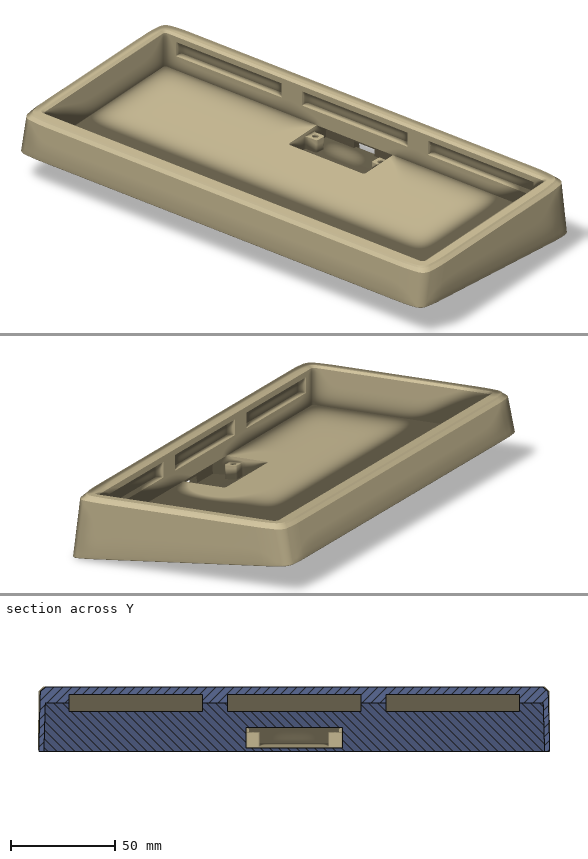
import cadquery as cq
import math

LENGTH = 245.6
BASE_DEPTH = 119.5
REAR_HEIGHT = 32.2
FRONT_HEIGHT = 20.0
BASE_SLOPE = math.atan((REAR_HEIGHT - FRONT_HEIGHT) / BASE_DEPTH)
BASE_EDGE_RADIUS = 0.5

BASE_CORNER_RUN = 13.8
RIM_CORNER_RUN = 15.2
BLEND_RATIO = 4.3
BLEND_ANGLE = math.radians(9.0)

SHOULDER_LENGTH = 245.2
SHOULDER_DEPTH = 112.5
RIM_STEPS = [(2.2, 0.0), (0.7, 1.6), (0.0, 2.2)]

OPENING_LENGTH = 230.0
OPENING_DEPTH = 95.8
OPENING_RADIUS = 1.2
MOUTH_DEPTH = 1.0
MOUTH_FLARE = 1.35
FLOOR_Z = -19.7

SEAM_Z = -7.9
SKIN = 2.5

SLOT_COUNT = 3
SLOT_PITCH = 76.2
SLOT_LENGTH = 63.9
SLOT_HEIGHT = 7.9
SLOT_DEPTH = 3.7
SLOT_RADIUS = 1.5

POCKET_LENGTH = 46.2
POCKET_SLOPE = math.radians(3.5)
POCKET_FRONT = 18.7
POCKET_REAR = 11.8
POCKET_EDGE_RADIUS = 1.5
POCKET_SKIN = 1.5
CREASE_Y = 43.5

POST_WIDTH = 6.6
POST_DEPTH = 6.5
POST_SETBACK = 1.2
POST_EDGE_RADIUS = 1.0
POST_HEIGHT = 7.0
POST_BORE = 3.2
POST_BORE_DEPTH = 1.2
POST_HOLE = 2.3
POST_HOLE_DEPTH = 6.1

SELECT_MARGIN = 0.2

PORT_WIDTH = 12.3
PORT_HEIGHT = 3.7
PORT_REACH = 7.4


def level(z):
    """Horizontal plane at height z."""
    return cq.Plane(origin=(0, 0, z))


def sloped_plane(y, z, slope):
    """Plane through (0, y, z) that falls towards +Y."""
    return cq.Plane(origin=(0, y, z), xDir=(1, 0, 0), normal=(0, math.sin(slope), math.cos(slope)))


def base_z(y):
    """Height of the base plane at y."""
    return -(REAR_HEIGHT + FRONT_HEIGHT) / 2 - y * math.tan(BASE_SLOPE)


def box_between(x_range, y_range, z_range):
    """Box given by its lower and upper limits along each axis."""
    low, high = zip(x_range, y_range, z_range)
    size = [b - a for a, b in zip(low, high)]
    return cq.Workplane(cq.Solid.makeBox(*size, cq.Vector(*low)))


def corner_insets(run):
    """Points along one corner as insets from its two sides: start, then (mid, end) of three arcs."""
    blend = BLEND_RATIO * run

    def on_blend(angle):
        return (blend * (1 - math.cos(angle)), run - blend * math.sin(angle))

    near, far = on_blend(BLEND_ANGLE)
    tight = (far - near) / (math.cos(BLEND_ANGLE) - math.sin(BLEND_ANGLE))
    apex = near + tight * (math.cos(BLEND_ANGLE) - math.sqrt(0.5))
    first_half = [(0, run), on_blend(BLEND_ANGLE / 2), (near, far)]
    second_half = [(b, a) for a, b in reversed(first_half)]
    return first_half + [(apex, apex)] + second_half


def rounded_outline(plane, length, depth, run):
    """Closed rectangular outline with blended corners."""
    insets = corner_insets(run)
    outline = cq.Workplane(plane).moveTo(-length / 2 + run, -depth / 2)
    for sx, sy in [(1, -1), (1, 1), (-1, 1), (-1, -1)]:
        walk = insets if sx * sy > 0 else insets[::-1]
        points = [(sx * (length / 2 - a), sy * (depth / 2 - b)) for a, b in walk]
        outline = outline.lineTo(*points[0])
        for mid, end in zip(points[1::2], points[2::2]):
            outline = outline.threePointArc(mid, end)
    return outline.close().val()


def drafted_walls(inset):
    """Solid between the base and the shoulder, set in from the outer walls."""
    plane = sloped_plane(0, base_z(0), BASE_SLOPE)
    depth = BASE_DEPTH / math.cos(BASE_SLOPE)
    base = rounded_outline(plane, LENGTH - 2 * inset, depth - 2 * inset, BASE_CORNER_RUN)
    shoulder = rounded_outline(
        level(-RIM_STEPS[0][0]), SHOULDER_LENGTH - 2 * inset, SHOULDER_DEPTH - 2 * inset, RIM_CORNER_RUN
    )
    return cq.Workplane(cq.Solid.makeLoft([base, shoulder], True))


def rim():
    """Beveled band above the shoulder."""
    outlines = [
        rounded_outline(level(-drop), SHOULDER_LENGTH - 2 * inset, SHOULDER_DEPTH - 2 * inset, RIM_CORNER_RUN)
        for drop, inset in RIM_STEPS
    ]
    return cq.Workplane(cq.Solid.makeLoft(outlines, True))


def cavity():
    """Open space above the tray floor, with a flared mouth."""
    outline = cq.Sketch().rect(OPENING_LENGTH, OPENING_DEPTH).vertices().fillet(OPENING_RADIUS)
    well = cq.Workplane(level(FLOOR_Z)).placeSketch(outline).extrude(-FLOOR_Z)
    flare_angle = math.degrees(math.atan(MOUTH_FLARE / MOUTH_DEPTH))
    mouth = cq.Workplane(level(-MOUTH_DEPTH)).placeSketch(outline).extrude(MOUTH_DEPTH, taper=-flare_angle)
    return well.union(mouth)


def wall_slots():
    """Row of shallow slots in the rear inner wall, centred on the seam."""
    wall_y = OPENING_DEPTH / 2
    slots = cq.Workplane()
    for index in range(SLOT_COUNT):
        x = (index - (SLOT_COUNT - 1) / 2) * SLOT_PITCH
        slot = box_between(
            (x - SLOT_LENGTH / 2, x + SLOT_LENGTH / 2),
            (wall_y - SLOT_DEPTH, wall_y + SLOT_DEPTH),
            (SEAM_Z - SLOT_HEIGHT / 2, SEAM_Z + SLOT_HEIGHT / 2),
        )
        slots = slots.add(slot.edges("|Z").fillet(SLOT_RADIUS))
    return slots.combine()


def pocket_frame():
    """Location of the pocket's rear floor, with its origin on the crease between the two floors."""
    crease_z = base_z(CREASE_Y) + POCKET_SKIN / math.cos(BASE_SLOPE)
    return cq.Location(sloped_plane(CREASE_Y, crease_z, POCKET_SLOPE))


def floor_pocket():
    """Space below the tray floor, leaving two bored posts standing on the pocket's side walls."""
    frame = pocket_frame()
    half = POCKET_LENGTH / 2
    span = (-POCKET_FRONT, POCKET_REAR)

    space = box_between((-half, half), span, (0, REAR_HEIGHT))
    space = space.edges("|Z").edges("<Y").fillet(POCKET_EDGE_RADIUS)
    post_y = (-POST_SETBACK - POST_DEPTH / 2, -POST_SETBACK + POST_DEPTH / 2)
    for x_range in [(-half, -half + POST_WIDTH), (half - POST_WIDTH, half)]:
        space = space.cut(box_between(x_range, post_y, (0, POST_HEIGHT)))
    post_edges = cq.selectors.BoxSelector(
        (-POCKET_LENGTH, post_y[0] - SELECT_MARGIN, -SELECT_MARGIN),
        (POCKET_LENGTH, post_y[1] + SELECT_MARGIN, POST_HEIGHT),
    )
    space = space.edges("|Z").edges(post_edges).fillet(POST_EDGE_RADIUS)

    post_centers = [(side * (half - POST_WIDTH / 2), -POST_SETBACK) for side in (-1, 1)]
    post_tops = cq.Workplane(level(POST_HEIGHT)).pushPoints(post_centers)
    bores = post_tops.circle(POST_BORE / 2).extrude(-POST_BORE_DEPTH)
    holes = post_tops.circle(POST_HOLE / 2).extrude(-POST_HOLE_DEPTH)
    space = space.val().moved(frame)
    drilled = bores.union(holes).val().moved(frame)

    above_skin = (
        cq.Workplane(sloped_plane(0, base_z(0), BASE_SLOPE))
        .workplane(offset=POCKET_SKIN).rect(LENGTH, 2 * BASE_DEPTH).extrude(REAR_HEIGHT)
    )
    below_floor = cq.Workplane(level(FLOOR_Z)).rect(LENGTH, BASE_DEPTH).extrude(-REAR_HEIGHT)
    return cq.Workplane(space).intersect(above_skin).intersect(below_floor).union(cq.Workplane(drilled))


def cable_port(drop):
    """Opening through the rear wall into the pocket, reaching the given drop below the pocket floor."""
    port = box_between(
        (-PORT_WIDTH / 2, PORT_WIDTH / 2),
        (POCKET_REAR, POCKET_REAR + PORT_REACH),
        (-drop, PORT_HEIGHT),
    )
    return cq.Workplane(port.val().moved(pocket_frame()))


walls = drafted_walls(0).faces("<Z").edges().fillet(BASE_EDGE_RADIUS)
case = walls.union(rim()).cut(cavity()).cut(wall_slots())
below_seam = cq.Workplane(level(SEAM_Z)).rect(LENGTH, 2 * BASE_DEPTH).extrude(-REAR_HEIGHT)
tray_space = drafted_walls(SKIN).intersect(below_seam)

cover = case.cut(tray_space).cut(cable_port(PORT_REACH))
tray = case.intersect(tray_space).cut(floor_pocket()).cut(cable_port(0))

result = cq.Compound.makeCompound([cover.solids().val(), tray.solids().val()])